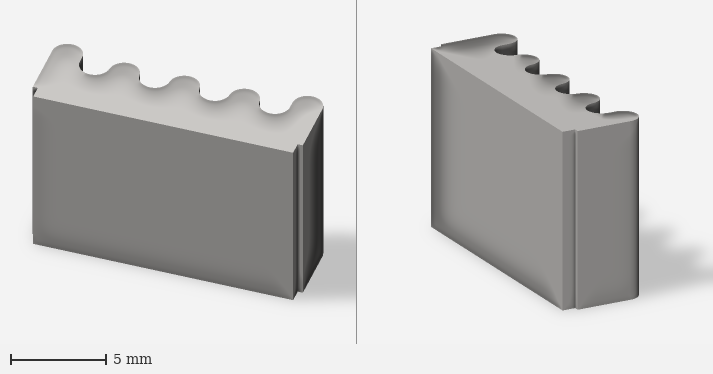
import cadquery as cq

length = 15.0
depth = 4.75
height = 10.0

base_depth = 0.75
base_inset = 0.28

groove_count = 4
groove_floor = 2.7
ridge_top = 4.25
pitch = length / (2 * groove_count + 1)
finger_radius = pitch / 2
finger_center_y = depth - finger_radius

wave_height = ridge_top - groove_floor
wave_radius = (pitch**2 + wave_height**2) / (4 * wave_height)
groove_center_y = groove_floor + wave_radius
ridge_center_y = ridge_top - wave_radius
joint_y = (groove_center_y + ridge_center_y) / 2

half_length = length / 2
base_half_length = half_length - base_inset


def add_finger(outline, start_x):
    """Round the end of a finger, from its left side to its right side."""
    return outline.threePointArc(
        (start_x + finger_radius, depth), (start_x + pitch, finger_center_y)
    )


outline = (
    cq.Workplane("XY")
    .moveTo(base_half_length, 0)
    .lineTo(-base_half_length, 0)
    .lineTo(-base_half_length, base_depth)
    .lineTo(-half_length, base_depth)
    .lineTo(-half_length, finger_center_y)
)
outline = add_finger(outline, -half_length)

x = -half_length + pitch
outline = outline.lineTo(x, joint_y)
for wave in range(2 * groove_count - 1):
    crest_y = groove_floor if wave % 2 == 0 else ridge_top
    outline = outline.threePointArc((x + pitch / 2, crest_y), (x + pitch, joint_y))
    x += pitch

outline = (
    add_finger(outline.lineTo(x, finger_center_y), x)
    .lineTo(half_length, base_depth)
    .lineTo(base_half_length, base_depth)
    .close()
)

result = outline.extrude(height)